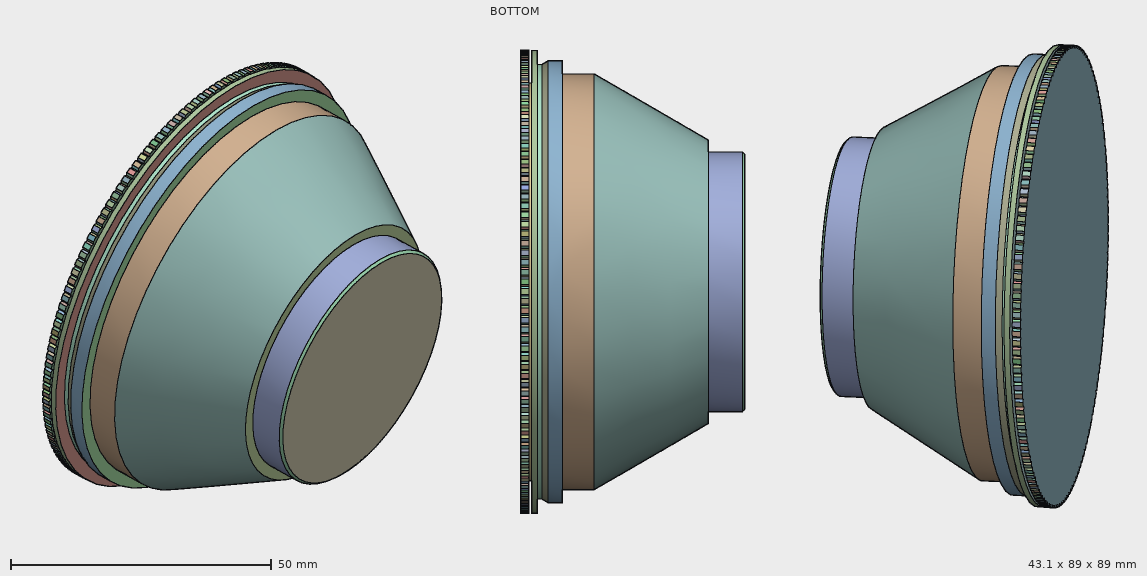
import cadquery as cq

FLANGE_RADIUS = 44.5
NECK_RADIUS = 38.25
SEAT_RADIUS = 41.8
COLLAR_RADIUS = 42.5
BARREL_RADIUS = 40.0
CONE_END_RADIUS = 27.25
SPIGOT_RADIUS = 25.0

X_FRONT = 0.0
KNURLED_RIM_LENGTH = 1.6
NECK_LENGTH = 0.5
FLANGE_LENGTH = 1.1
SEAT_LENGTH = 0.9
COLLAR_TAPER_LENGTH = 1.2
COLLAR_LENGTH = 2.75
BARREL_LENGTH = 6.05
CONE_LENGTH = 22.0
SPIGOT_LENGTH = 7.0
SPIGOT_CHAMFER = 0.5

GROOVE_COUNT = 150
GROOVE_WIDTH = 0.8
GROOVE_DEPTH = 0.5
GROOVE_OVERSHOOT = 0.5

x_rim_end = X_FRONT + KNURLED_RIM_LENGTH
x_neck_end = x_rim_end + NECK_LENGTH
x_flange_end = x_neck_end + FLANGE_LENGTH
x_seat_end = x_flange_end + SEAT_LENGTH
x_taper_end = x_seat_end + COLLAR_TAPER_LENGTH
x_collar_end = x_taper_end + COLLAR_LENGTH
x_barrel_end = x_collar_end + BARREL_LENGTH
x_cone_end = x_barrel_end + CONE_LENGTH
x_spigot_end = x_cone_end + SPIGOT_LENGTH


def turned_body():
    """Revolve the half section (X along the axis, radius along Z)."""
    section = [
        (X_FRONT, 0),
        (X_FRONT, FLANGE_RADIUS),
        (x_rim_end, FLANGE_RADIUS),
        (x_rim_end, NECK_RADIUS),
        (x_neck_end, NECK_RADIUS),
        (x_neck_end, FLANGE_RADIUS),
        (x_flange_end, FLANGE_RADIUS),
        (x_flange_end, SEAT_RADIUS),
        (x_seat_end, SEAT_RADIUS),
        (x_taper_end, COLLAR_RADIUS),
        (x_collar_end, COLLAR_RADIUS),
        (x_collar_end, BARREL_RADIUS),
        (x_barrel_end, BARREL_RADIUS),
        (x_cone_end, CONE_END_RADIUS),
        (x_cone_end, SPIGOT_RADIUS),
        (x_spigot_end - SPIGOT_CHAMFER, SPIGOT_RADIUS),
        (x_spigot_end, SPIGOT_RADIUS - SPIGOT_CHAMFER),
        (x_spigot_end, 0),
    ]
    return cq.Workplane("XZ").polyline(section).close().revolve(360, (0, 0), (1, 0))


def knurl_grooves():
    """V-shaped cutters spaced evenly around the rim, the first one centred on +Y."""
    outer_half_width = GROOVE_WIDTH / 2 * (1 + GROOVE_OVERSHOOT / GROOVE_DEPTH)
    outer_radius = FLANGE_RADIUS + GROOVE_OVERSHOOT
    root_radius = FLANGE_RADIUS - GROOVE_DEPTH
    cutter = (
        cq.Workplane("YZ", origin=(X_FRONT, 0, 0))
        .polyline([(root_radius, 0), (outer_radius, outer_half_width), (outer_radius, -outer_half_width)])
        .close()
        .extrude(KNURLED_RIM_LENGTH)
        .val()
    )
    pitch_angle = 360 / GROOVE_COUNT
    axis_start = cq.Vector(0, 0, 0)
    axis_end = cq.Vector(1, 0, 0)
    cutters = [cutter.rotate(axis_start, axis_end, i * pitch_angle) for i in range(GROOVE_COUNT)]
    return cq.Compound.makeCompound(cutters)


result = turned_body().cut(cq.Workplane(obj=knurl_grooves()))